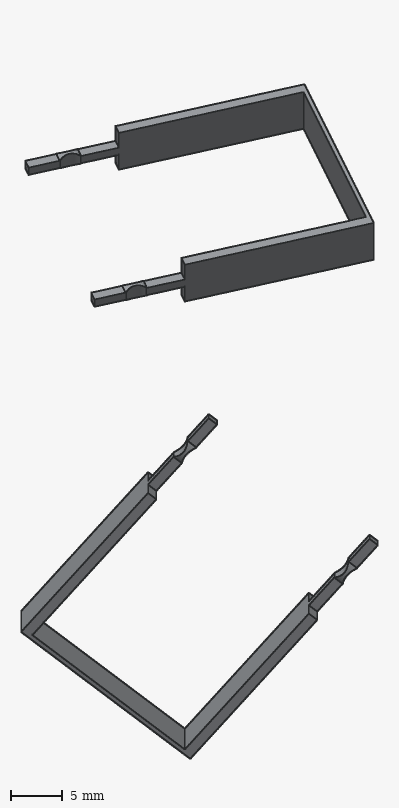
import cadquery as cq

frame_width = 21.33
total_length = 28.58
frame_height = 4.8

leg_thickness = 1.06
web_thickness = 0.45

pin_length = 9.24
pin_height = 0.96

crimp_from_tip = 4.28
neck_length = 2.06
neck_thickness = 0.4
bulge_length = 2.2
bulge_height = 1.6

leg_center_x = (frame_width - leg_thickness) / 2

tip_y = 0
crimp_center_y = tip_y + crimp_from_tip
leg_front_y = tip_y + pin_length
frame_back_y = tip_y + total_length


def box_between(x_size, y_start, y_end, z_size):
    """Box centred on X = 0 and Z = 0, running from y_start to y_end."""
    y_size = y_end - y_start
    y_center = y_start + y_size / 2
    return cq.Workplane("XY").box(x_size, y_size, z_size).translate((0, y_center, 0))


def make_frame():
    """U-shaped frame, open towards the pins."""
    outer = box_between(frame_width, leg_front_y, frame_back_y, frame_height)
    opening_width = frame_width - 2 * leg_thickness
    opening = box_between(opening_width, leg_front_y, frame_back_y - web_thickness, frame_height)
    return outer.cut(opening)


def crimped_outline(plane, end_width, middle_width, arc_length):
    """Closed pin outline along Y whose width follows an arc through the crimp.

    The first coordinate is across the pin and the second is along Y.
    """
    half_end = end_width / 2
    half_middle = middle_width / 2
    arc_front_y = crimp_center_y - arc_length / 2
    arc_back_y = crimp_center_y + arc_length / 2
    return (
        plane.moveTo(-half_end, tip_y)
        .lineTo(half_end, tip_y)
        .lineTo(half_end, arc_front_y)
        .threePointArc((half_middle, crimp_center_y), (half_end, arc_back_y))
        .lineTo(half_end, leg_front_y)
        .lineTo(-half_end, leg_front_y)
        .lineTo(-half_end, arc_back_y)
        .threePointArc((-half_middle, crimp_center_y), (-half_end, arc_front_y))
        .close()
    )


def make_pin(x_center):
    """Pin with a crimp: the plan outline intersected with the side outline."""
    plan_plane = cq.Workplane("XY")
    plan_outline = crimped_outline(plan_plane, leg_thickness, neck_thickness, neck_length)
    plan = plan_outline.extrude(bulge_height, both=True)
    side_plane = cq.Workplane(cq.Plane(origin=(0, 0, 0), xDir=(0, 0, 1), normal=(-1, 0, 0)))
    side_outline = crimped_outline(side_plane, pin_height, bulge_height, bulge_length)
    side = side_outline.extrude(leg_thickness, both=True)
    return plan.intersect(side).translate((x_center, 0, 0))


result = make_frame()
for side_sign in (-1, 1):
    result = result.union(make_pin(side_sign * leg_center_x))